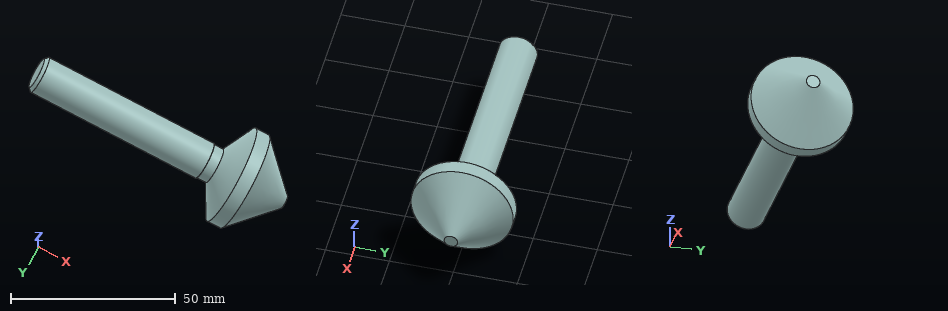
import cadquery as cq

total_length = 86.0
shank_diameter = 12.0
shank_length = 58.4
shank_chamfer = 1.1
neck_diameter = 11.5
neck_length = 3.35
head_diameter = 32.0
rim_length = 4.6
tip_diameter = 4.2

shank_radius = shank_diameter / 2
neck_radius = neck_diameter / 2
head_radius = head_diameter / 2
tip_radius = tip_diameter / 2
neck_end = shank_length + neck_length
rim_end = total_length - (head_radius - tip_radius)
rim_start = rim_end - rim_length

profile = (
    cq.Workplane("XY")
    .moveTo(0, 0)
    .lineTo(0, shank_radius - shank_chamfer)
    .lineTo(shank_chamfer, shank_radius)
    .lineTo(shank_length, shank_radius)
    .lineTo(shank_length, neck_radius)
    .lineTo(neck_end, neck_radius)
    .lineTo(rim_start, head_radius)
    .lineTo(rim_end, head_radius)
    .lineTo(total_length, tip_radius)
    .lineTo(total_length, 0)
    .close()
)

result = profile.revolve(360, (0, 0, 0), (1, 0, 0))